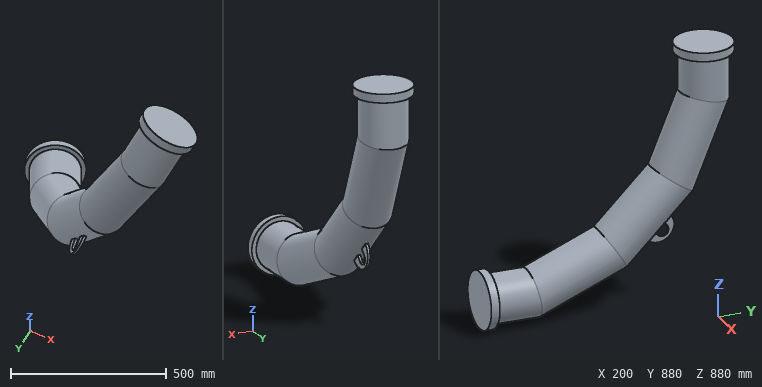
import cadquery as cq
import math

overall_size = 880.0
flange_diameter = 200.0
flange_thickness = 30.0
pipe_diameter = 168.0
mitre_count = 4
bend_radius = overall_size - flange_thickness - flange_diameter / 2

lug_radius = 57.0
lug_thickness = 10.0
lug_slot_width = 43.0
lug_slot_centre_height = 22.0
lug_root_depth = 26.0

mitre_angle = 90.0 / mitre_count


def bend_point(angle, radius):
    """(Y, Z) at a radius from the bend centre; 0 degrees is the upper end, 90 the lower one."""
    turn = math.radians(angle)
    return radius * math.cos(turn), -radius * math.sin(turn)


def make_pipe():
    """Round pipe swept along the straight segments that touch the bend radius."""
    corner_radius = bend_radius / math.cos(math.radians(mitre_angle / 2))
    corners = [bend_point((i + 0.5) * mitre_angle, corner_radius) for i in range(mitre_count)]
    path_points = [bend_point(0, bend_radius), *corners, bend_point(90, bend_radius)]
    path = cq.Workplane("YZ").polyline(path_points)
    return (
        cq.Workplane("XY", origin=(0, bend_radius, 0))
        .circle(pipe_diameter / 2)
        .sweep(path, transition="right")
    )


def make_flange(centre, direction):
    """Blank disc standing on a pipe end and pointing away from it."""
    return (
        cq.Workplane(cq.Plane(origin=centre, xDir=(1, 0, 0), normal=direction))
        .circle(flange_diameter / 2)
        .extrude(flange_thickness)
    )


def make_lug():
    """Half-round plate with a round-ended slot that runs in to the pipe."""
    surface_y, surface_z = bend_point(45, bend_radius + pipe_diameter / 2)
    plane = cq.Plane(origin=(0, surface_y, surface_z), xDir=(0, 1, 1), normal=(-1, 0, 0))

    def round_ended(half_width, centre_height):
        return (
            cq.Workplane(plane)
            .moveTo(-half_width, -lug_root_depth)
            .lineTo(-half_width, centre_height)
            .threePointArc((0, centre_height + half_width), (half_width, centre_height))
            .lineTo(half_width, -lug_root_depth)
            .close()
            .extrude(lug_thickness / 2, both=True)
        )

    plate = round_ended(lug_radius, 0)
    slot = round_ended(lug_slot_width / 2, lug_slot_centre_height)
    return plate.cut(slot)


upper_flange = make_flange((0, bend_radius, 0), (0, 0, 1))
lower_flange = make_flange((0, 0, -bend_radius), (0, -1, 0))
result = make_pipe().union(upper_flange).union(lower_flange).union(make_lug())